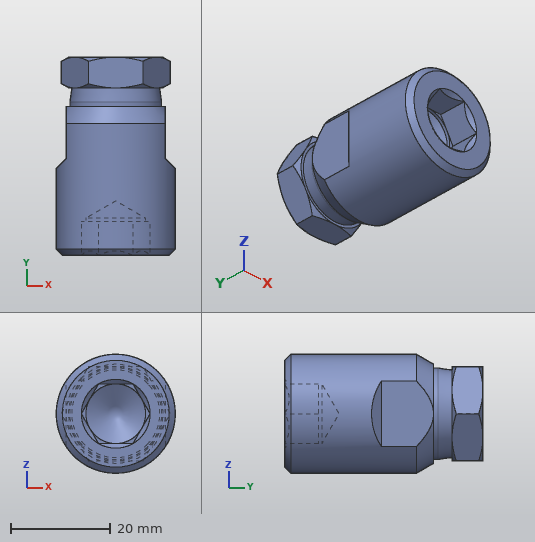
import cadquery as cq
import math


HOUSING_RADIUS = 12.0
HOUSING_LENGTH = 30.0
FRONT_CHAMFER = 1.25
SHOULDER_START = 26.5
SHOULDER_ANGLE = 30.0

FLAT_OFFSET = 10.0
FLAT_START = 19.5
FLAT_DEPTH = HOUSING_RADIUS - FLAT_OFFSET

SOCKET_ACROSS_FLATS = 12.0
SOCKET_DEPTH = 6.8
SOCKET_LEAD_IN_ANGLE = 45.0
DRILL_RADIUS = SOCKET_ACROSS_FLATS / 2
DRILL_DEPTH = 7.5
DRILL_POINT_ANGLE = 120.0

COLLAR_RADIUS = 9.25
COLLAR_LENGTH = 0.9
NECK_END_RADIUS = 8.85
HEAD_START = 33.7
HEAD_END = 39.9
HEAD_ACROSS_FLATS = 19.0
HEAD_CHAMFER_ANGLE = 30.0


def corner_radius(across_flats):
    """Distance from the centre of a hexagon to its corners."""
    return across_flats / math.sqrt(3)


def turned(profile):
    """Solid of revolution about the Y axis from (radius, Y) points."""
    return cq.Workplane("XY").polyline(profile).close().revolve(360, (0, 0, 0), (0, 1, 0))


def hexagon_bar(across_flats, start, end):
    """Hexagonal bar along Y with corners on the X axis."""
    section = cq.Workplane("XZ", origin=(0, start, 0)).polygon(6, 2 * corner_radius(across_flats))
    return section.extrude(start - end)


def housing_blank():
    shoulder_drop = (HOUSING_LENGTH - SHOULDER_START) * math.tan(math.radians(SHOULDER_ANGLE))
    return turned([
        (0, 0),
        (HOUSING_RADIUS - FRONT_CHAMFER, 0),
        (HOUSING_RADIUS, FRONT_CHAMFER),
        (HOUSING_RADIUS, SHOULDER_START),
        (HOUSING_RADIUS - shoulder_drop, HOUSING_LENGTH),
        (0, HOUSING_LENGTH),
    ])


def flat_cutter(side):
    """Material removed for one flat; side is +1 or -1 along X."""
    outline = [
        (side * FLAT_OFFSET, HOUSING_LENGTH),
        (side * FLAT_OFFSET, FLAT_START),
        (side * HOUSING_RADIUS, FLAT_START - FLAT_DEPTH),
        (side * HOUSING_RADIUS, HOUSING_LENGTH),
    ]
    return cq.Workplane("XY").polyline(outline).close().extrude(HOUSING_RADIUS, both=True)


def socket_cutter():
    """Hexagon socket with its conical lead-in, and the drilled hole with its point."""
    hexagon = hexagon_bar(SOCKET_ACROSS_FLATS, 0, SOCKET_DEPTH)

    mouth_radius = corner_radius(SOCKET_ACROSS_FLATS)
    lead_in_length = mouth_radius / math.tan(math.radians(SOCKET_LEAD_IN_ANGLE))
    lead_in = turned([(0, 0), (mouth_radius, 0), (0, lead_in_length)])

    point_length = DRILL_RADIUS / math.tan(math.radians(DRILL_POINT_ANGLE / 2))
    drill = turned([
        (0, 0),
        (DRILL_RADIUS, 0),
        (DRILL_RADIUS, DRILL_DEPTH),
        (0, DRILL_DEPTH + point_length),
    ])
    return hexagon.union(lead_in).union(drill)


def make_housing():
    body = housing_blank()
    for side in (-1, 1):
        body = body.cut(flat_cutter(side))
    return body.cut(socket_cutter())


def screw_head():
    """Hexagon with both ends chamfered down to a circle that touches the flats."""
    face_radius = HEAD_ACROSS_FLATS / 2
    outer_radius = corner_radius(HEAD_ACROSS_FLATS)
    chamfer_length = (outer_radius - face_radius) * math.tan(math.radians(HEAD_CHAMFER_ANGLE))
    envelope = turned([
        (0, HEAD_START),
        (face_radius, HEAD_START),
        (outer_radius, HEAD_START + chamfer_length),
        (outer_radius, HEAD_END - chamfer_length),
        (face_radius, HEAD_END),
        (0, HEAD_END),
    ])
    return hexagon_bar(HEAD_ACROSS_FLATS, HEAD_START, HEAD_END).intersect(envelope)


def make_screw():
    """Screw whose collar rests on the rear face of the housing."""
    neck = turned([
        (0, HOUSING_LENGTH),
        (COLLAR_RADIUS, HOUSING_LENGTH),
        (COLLAR_RADIUS, HOUSING_LENGTH + COLLAR_LENGTH),
        (NECK_END_RADIUS, HEAD_START),
        (0, HEAD_START),
    ])
    return screw_head().union(neck)


housing = make_housing()
screw = make_screw()

result = cq.Compound.makeCompound([housing.val(), screw.val()])